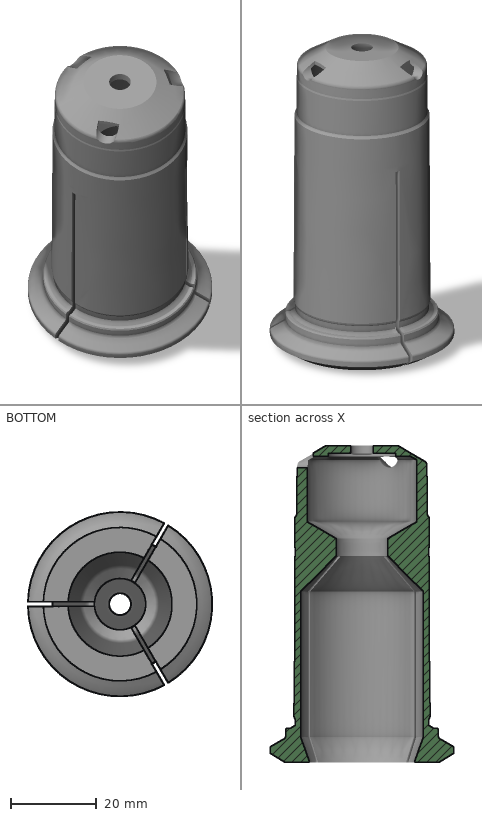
import cadquery as cq
import math

height = 73.9

flange_radius = 21.5
step_radius = 17.9
lower_bevel_top = 2.2
rim_top = 3.4
rim_round_radial = 0.4
rim_round_height = 0.5
cove_radial = 0.6
cove_bottom = 5.5
cove_top = 6.0
step_top = 8.05
step_chamfer_height = 0.4
step_chamfer_radial = 0.2

neck_foot_radius = 16.8
neck_radius = 15.7
neck_bottom = 8.7
neck_top = 10.2
sleeve_bottom_radius = 15.95
sleeve_bottom = 10.9
neck_shoulder_radius = 15.8
neck_shoulder_height = 10.4
sleeve_top_radius = 15.75
sleeve_top = 57.1

collar_radius = 30.5 / 2
collar_bottom = 57.8
collar_top = 66.6
cap_radius = 15.15
cap_bottom = 67.0
cap_round_bottom = 69.3
cap_round_top = 70.2
cone_base_radius = 14.8
crown_radius = 8.5

window_width = 5.0
window_inner_radius = 11.4
first_window_angle = 90.0

top_hole_radius = 2.5
cap_thickness = 1.85
recess_radius = 7.75
chamber_ceiling = 71.3
chamber_shoulder = 70.5
chamber_radius = 25.5 / 2
chamber_floor = 56.2
funnel_slope = 30.0

throat_radius = 6.0
bore_radius = 14.25
bore_top = 39.9
mouth_radius = 12.1
mouth_depth = 6.0

slot_width = 1.0
slot_top = 48.1
first_slot_angle = 60.0

feature_count = 3
feature_pitch = 360 / feature_count


def revolve_outline(outline):
    """Turn a closed radius-height outline around the Z axis."""
    return outline.close().revolve(360, (0, 0, 0), (0, 1, 0))


def bulge_point(start, end, bulge):
    """Point beside the middle of a chord, offset to its right by a fraction of its length."""
    run = end[0] - start[0]
    rise = end[1] - start[1]
    return ((start[0] + end[0]) / 2 + rise * bulge, (start[1] + end[1]) / 2 - run * bulge)


def outer_body():
    """Solid bounded by the outside of the flange, neck, sleeve and cap."""
    rounding = 0.12
    rim_round_start = (flange_radius, rim_top)
    rim_round_end = (flange_radius - rim_round_radial, rim_top + rim_round_height)
    cove_start = (step_radius + cove_radial, cove_bottom)
    cove_end = (step_radius, cove_top)
    cap_round_start = (cap_radius, cap_round_bottom)
    cap_round_end = (cone_base_radius, cap_round_top)

    outline = (
        cq.Workplane("XZ")
        .lineTo(step_radius, 0)
        .lineTo(flange_radius, lower_bevel_top)
        .lineTo(*rim_round_start)
        .threePointArc(bulge_point(rim_round_start, rim_round_end, rounding), rim_round_end)
        .lineTo(*cove_start)
        .threePointArc(bulge_point(cove_start, cove_end, -rounding), cove_end)
        .lineTo(step_radius, step_top - step_chamfer_height)
        .lineTo(step_radius - step_chamfer_radial, step_top)
        .lineTo(neck_foot_radius, step_top)
        .lineTo(neck_radius, neck_bottom)
        .lineTo(neck_radius, neck_top)
        .lineTo(neck_shoulder_radius, neck_shoulder_height)
        .lineTo(sleeve_bottom_radius, sleeve_bottom)
        .lineTo(sleeve_top_radius, sleeve_top)
        .lineTo(collar_radius, collar_bottom)
        .lineTo(collar_radius, collar_top)
        .lineTo(cap_radius, cap_bottom)
        .lineTo(*cap_round_start)
        .threePointArc(bulge_point(cap_round_start, cap_round_end, rounding), cap_round_end)
        .lineTo(crown_radius, height)
        .lineTo(0, height)
    )
    return revolve_outline(outline)


def inner_cavity():
    """Solid to remove: lower bore, throat, upper chamber and top hole."""
    bore_cone_top = bore_top + bore_radius - throat_radius
    funnel_drop = (chamber_radius - throat_radius) * math.tan(math.radians(funnel_slope))
    recess_top = height - cap_thickness

    outline = (
        cq.Workplane("XZ")
        .lineTo(mouth_radius, 0)
        .lineTo(bore_radius, mouth_depth)
        .lineTo(bore_radius, bore_top)
        .lineTo(throat_radius, bore_cone_top)
        .lineTo(throat_radius, chamber_floor - funnel_drop)
        .lineTo(chamber_radius, chamber_floor)
        .lineTo(chamber_radius, chamber_shoulder)
        .lineTo(window_inner_radius, chamber_ceiling)
        .lineTo(recess_radius, chamber_ceiling)
        .lineTo(recess_radius, recess_top)
        .lineTo(top_hole_radius, recess_top)
        .lineTo(top_hole_radius, height)
        .lineTo(0, height)
    )
    return revolve_outline(outline)


def saw_slot():
    """Radial slot cutter along +X, from the axis out past the flange."""
    return cq.Workplane("XY").box(
        flange_radius + slot_width, slot_width, slot_top, centered=(False, True, False)
    )


def cap_window():
    """Window cutter along +X: half-round floor, straight sides, flat inner end."""
    half_width = window_width / 2
    profile = (
        cq.Workplane("YZ", origin=(window_inner_radius, 0, chamber_ceiling))
        .moveTo(-half_width, 0)
        .threePointArc((0, -half_width), (half_width, 0))
        .lineTo(half_width, half_width)
        .lineTo(-half_width, half_width)
        .close()
    )
    return profile.extrude(flange_radius - window_inner_radius)


def turned(cutter, angle):
    """Cutter turned about the Z axis."""
    return cutter.rotate((0, 0, 0), (0, 0, 1), angle)


result = outer_body().cut(inner_cavity())
for index in range(feature_count):
    result = result.cut(turned(saw_slot(), first_slot_angle + index * feature_pitch))
    result = result.cut(turned(cap_window(), first_window_angle + index * feature_pitch))